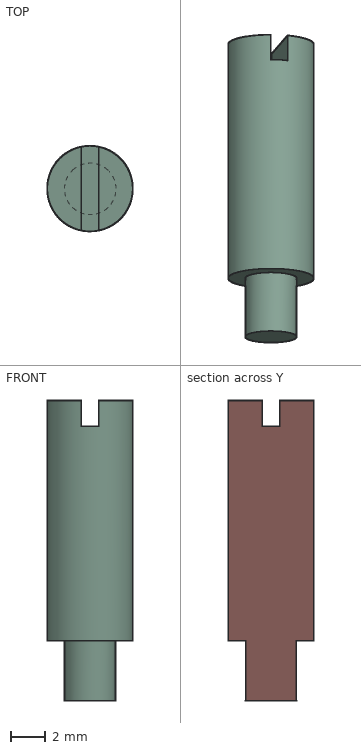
import cadquery as cq

body_diameter = 5.0
body_length = 14.0
pin_diameter = 3.0
pin_length = 3.5
slot_width = 1.0
slot_depth = 1.5


def make_body():
    """Cylindrical shank standing on the XY plane."""
    return cq.Workplane("XY").circle(body_diameter / 2).extrude(body_length)


def make_pin():
    """Reduced-diameter pin hanging below the shank."""
    return cq.Workplane("XY").circle(pin_diameter / 2).extrude(-pin_length)


def make_slot():
    """Screwdriver slot along Y, open at the top end of the shank."""
    return (
        cq.Workplane("XY")
        .workplane(offset=body_length)
        .rect(slot_width, body_diameter)
        .extrude(-slot_depth)
    )


result = make_body().union(make_pin()).cut(make_slot())